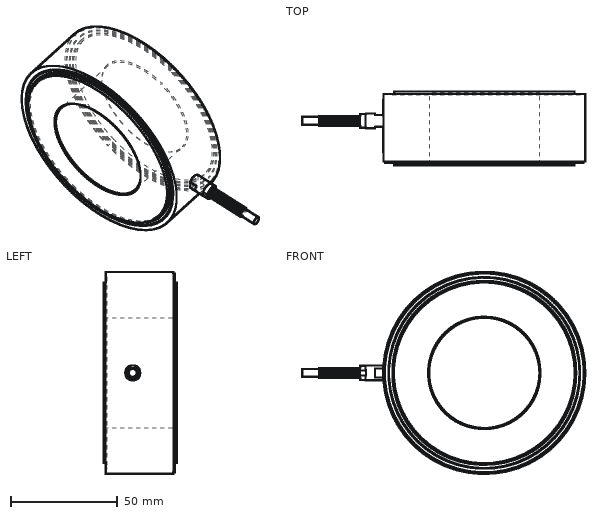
import cadquery as cq

body_diameter = 95.2
body_width = 31.9
lip_diameter = 93.6
lip_width = 0.7
face_diameter = 85.1
face_height = 1.13
moat_diameter = 86.7
moat_depth = 0.4
bore_diameter = 51.9
bore_chamfer = 0.5
groove_inner_diameter = 89.6
groove_outer_diameter = 90.3
groove_depth = 0.5

total_length = 133.4
outlet_depth = 13.9
cable_diameter = 3.9
sleeve_diameter = 4.8
sleeve_root_diameter = 4.5
fitting_diameter = 7.1
collar_diameter = 7.0
collar_flat_width = 6.5
wrench_flat_width = 5.7
cable_free_length = 7.9
sleeve_length = 19.5
collar_length = 2.5
collar_flat_length = 2.8
wrench_flat_length = 3.7
coil_count = 45
fitting_overlap = 2.7

total_width = body_width + lip_width + 2 * face_height
back_y = total_width / 2
body_back_y = back_y - face_height
body_front_y = body_back_y - body_width
lip_front_y = body_front_y - lip_width
front_y = lip_front_y - face_height
outlet_y = back_y - outlet_depth

body_left_x = -body_diameter / 2
tip_x = body_diameter / 2 - total_length
sleeve_start_x = tip_x + cable_free_length
collar_start_x = sleeve_start_x + sleeve_length
nut_start_x = collar_start_x + collar_length
wrench_flat_start_x = body_left_x - wrench_flat_length
fitting_end_x = body_left_x + fitting_overlap


def disc(diameter, start_y, end_y):
    """Solid disc on the ring axis between two Y positions."""
    plane = cq.Plane(origin=(0, start_y, 0), xDir=(1, 0, 0), normal=(0, 1, 0))
    return cq.Workplane(plane).circle(diameter / 2).extrude(end_y - start_y)


def rod(diameter, start_x, end_x):
    """Solid rod on the outlet axis between two X positions."""
    plane = cq.Plane(origin=(start_x, outlet_y, 0), xDir=(0, 1, 0), normal=(1, 0, 0))
    return cq.Workplane(plane).circle(diameter / 2).extrude(end_x - start_x)


def ring_groove(inner_diameter, outer_diameter, start_y, end_y):
    """Annular volume to cut into an end of the body around the raised face."""
    return disc(outer_diameter, start_y, end_y).cut(disc(inner_diameter, start_y, end_y))


def make_ring():
    """Sensor ring with raised faces, front lip, grooves and chamfered bore."""
    ring = disc(body_diameter, body_front_y, body_back_y)
    ring = ring.union(disc(lip_diameter, lip_front_y, body_front_y))
    ring = ring.union(disc(face_diameter, front_y, back_y))
    ring = ring.cut(disc(bore_diameter, front_y, back_y))
    ring = ring.edges(cq.selectors.RadiusNthSelector(0)).chamfer(bore_chamfer)
    grooves = (
        (face_diameter, moat_diameter, moat_depth),
        (groove_inner_diameter, groove_outer_diameter, groove_depth),
    )
    for inner_diameter, outer_diameter, depth in grooves:
        ring = ring.cut(ring_groove(inner_diameter, outer_diameter, lip_front_y, lip_front_y + depth))
        ring = ring.cut(ring_groove(inner_diameter, outer_diameter, body_back_y - depth, body_back_y))
    return ring


def across_flats(width, start_x, end_x):
    """Slab that leaves two flats facing -Y and +Y, the given width apart."""
    length = end_x - start_x
    slab = cq.Workplane("XY").box(length, width, 2 * fitting_diameter)
    return slab.translate((start_x + length / 2, outlet_y, 0))


def make_fitting():
    """Cable gland: collar with flats, round nut, and wrench flats next to the body."""
    collar_flat_end_x = collar_start_x + collar_flat_length
    collar = rod(collar_diameter, collar_start_x, nut_start_x)
    collar = collar.union(rod(fitting_diameter, nut_start_x, collar_flat_end_x))
    collar = collar.intersect(across_flats(collar_flat_width, collar_start_x, collar_flat_end_x))
    nut = rod(fitting_diameter, collar_flat_end_x, wrench_flat_start_x)
    neck = rod(fitting_diameter, wrench_flat_start_x, fitting_end_x)
    neck = neck.intersect(across_flats(wrench_flat_width, wrench_flat_start_x, fitting_end_x))
    return collar.union(nut).union(neck)


def make_sleeve():
    """Strain-relief coil, modelled as a row of equal round beads turned about the outlet axis."""
    pitch = sleeve_length / coil_count
    root = sleeve_root_diameter / 2
    crest = sleeve_diameter / 2
    profile = cq.Workplane("XZ", origin=(sleeve_start_x, outlet_y, 0)).lineTo(0, root)
    for coil in range(coil_count):
        profile = profile.threePointArc(((coil + 0.5) * pitch, crest), ((coil + 1) * pitch, root))
    return profile.lineTo(sleeve_length, 0).close().revolve(360, (0, 0, 0), (1, 0, 0))


cable = rod(cable_diameter, tip_x, sleeve_start_x)

result = make_ring().union(make_fitting()).union(make_sleeve()).union(cable)